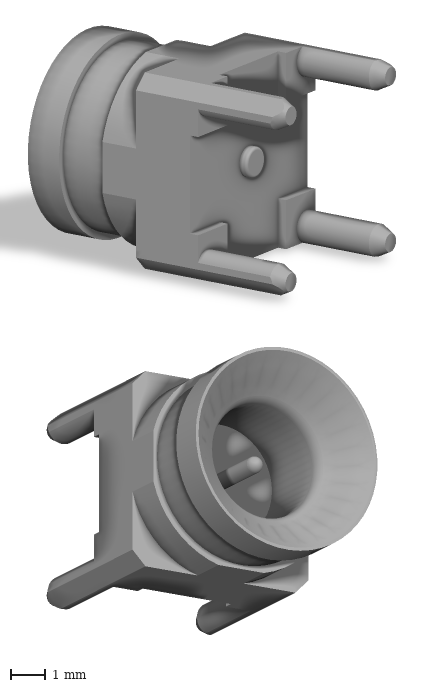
import cadquery as cq
import math

flange_end = 1.12
groove_end = 2.61
collar_end = 3.81
base_plane = 5.75
foot_plane = 6.04
leg_cone_start = 8.62
overall_length = 9.05

barrel_radius = 3.1
groove_radius = 2.88
body_width = 6.0
corner_chamfer = 0.44
cross_channel_width = 3.005

mouth_radius = 3.005
bore_radius = 1.76
throat_radius = 0.5
bore_floor = collar_end
contact_radius = 0.25
contact_tip = 1.61
tail_radius = 0.47
tail_end = 6.01
tail_fillet = 0.09

leg_radius = 0.5
leg_tip_radius = 0.28
leg_offset = 2.54


def rod(radius, start, end):
    """Cylinder along X between two axial positions."""
    return cq.Workplane("YZ", origin=(start, 0, 0)).circle(radius).extrude(end - start)


def square_bar(start, end):
    """Square bar along X between two axial positions."""
    return cq.Workplane("YZ", origin=(start, 0, 0)).rect(body_width, body_width).extrude(end - start)


def make_body():
    """Flange, groove, flat-sided collar and chamfered square block with four feet."""
    flange = rod(barrel_radius, 0, flange_end)
    groove = rod(groove_radius, flange_end, groove_end)
    collar = rod(barrel_radius, groove_end, collar_end).intersect(square_bar(groove_end, collar_end))
    block = square_bar(collar_end, foot_plane).edges("|X").chamfer(corner_chamfer)

    channel_depth = foot_plane - base_plane
    channel = cq.Workplane("XY").box(channel_depth, cross_channel_width, body_width)
    channel = channel.translate((foot_plane - channel_depth / 2, 0, 0))
    block = block.cut(channel).cut(channel.rotate((0, 0, 0), (1, 0, 0), 90))
    return flange.union(groove).union(collar).union(block)


def make_socket():
    """Cavity: 45-degree flare blending tangentially into a straight bore."""
    throat_center_radius = bore_radius + throat_radius
    diagonal = throat_radius * math.sqrt(0.5)
    flare_end_radius = throat_center_radius - diagonal
    flare_end = mouth_radius - flare_end_radius
    throat_end = flare_end + diagonal
    half_angle = math.radians(22.5)
    arc_middle = (
        throat_end - throat_radius * math.sin(half_angle),
        throat_center_radius - throat_radius * math.cos(half_angle),
    )
    return (
        cq.Workplane("XY")
        .lineTo(0, mouth_radius)
        .lineTo(flare_end, flare_end_radius)
        .threePointArc(arc_middle, (throat_end, bore_radius))
        .lineTo(bore_floor, bore_radius)
        .lineTo(bore_floor, 0)
        .close()
        .revolve(360, (0, 0, 0), (1, 0, 0))
    )


def make_contacts():
    """Round-nosed center contact and the rounded tail at the rear."""
    nose_center = contact_tip + contact_radius
    contact = rod(contact_radius, nose_center, base_plane)
    nose = cq.Workplane("XY").sphere(contact_radius).translate((nose_center, 0, 0))
    tail = rod(tail_radius, bore_floor, tail_end).faces(">X").edges().fillet(tail_fillet)
    return contact.union(nose).union(tail)


def make_leg(y_side, z_side):
    """Round leg with a conical tip, trimmed flush with the sides of the body."""
    leg = (
        cq.Workplane("XY")
        .moveTo(base_plane, 0)
        .lineTo(base_plane, leg_radius)
        .lineTo(leg_cone_start, leg_radius)
        .lineTo(overall_length, leg_tip_radius)
        .lineTo(overall_length, 0)
        .close()
        .revolve(360, (0, 0, 0), (1, 0, 0))
        .translate((0, y_side * leg_offset, z_side * leg_offset))
    )
    envelope = square_bar(base_plane, overall_length).edges("|X").chamfer(corner_chamfer)
    return leg.intersect(envelope)


result = make_body().cut(make_socket()).union(make_contacts())
for y_side in (-1, 1):
    for z_side in (-1, 1):
        result = result.union(make_leg(y_side, z_side))